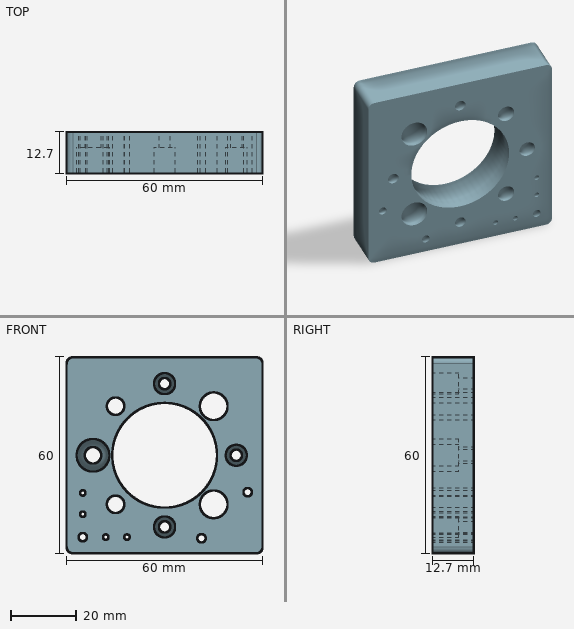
import cadquery as cq

side = 60.0
thickness = 12.7
corner_radius = 2.0

bore_diameter = 32.0

screw_offset = 21.9
screw_diameter = 3.4
screw_head_diameter = 6.5
screw_head_depth = 8.0
large_screw_diameter = 5.0
large_screw_head_diameter = 10.0
large_screw_head_depth = 8.0

rod_offset = 15.0
small_rod_diameter = 5.3
large_rod_diameter = 8.4

edge_line = 25.0
pin_diameter = 1.6
pin_near = 11.5
pin_far = 18.0
dowel_diameter = 2.5
outer_dowel_line = 25.4
outer_dowel_offset = 11.3

front_y = -thickness / 2


def cylinder_from_front(x, z, diameter, depth):
    """Cylinder entering the front face at (x, z) and running toward +Y."""
    axis = cq.Vector(0, 1, 0)
    return cq.Solid.makeCylinder(diameter / 2, depth, cq.Vector(x, front_y, z), axis)


def drill(body, places, diameter, depth=thickness):
    for x, z in places:
        body = body.cut(cylinder_from_front(x, z, diameter, depth))
    return body


def counterbore(body, places, diameter, head_diameter, head_depth):
    body = drill(body, places, diameter)
    return drill(body, places, head_diameter, head_depth)


plate = cq.Workplane("XY").box(side, thickness, side).edges("|Y").fillet(corner_radius)

plate = drill(plate, [(0, 0)], bore_diameter)

screw_places = [(0, screw_offset), (screw_offset, 0), (0, -screw_offset)]
plate = counterbore(plate, screw_places, screw_diameter, screw_head_diameter, screw_head_depth)
plate = counterbore(
    plate,
    [(-screw_offset, 0)],
    large_screw_diameter,
    large_screw_head_diameter,
    large_screw_head_depth,
)

plate = drill(plate, [(-rod_offset, z) for z in (-rod_offset, rod_offset)], small_rod_diameter)
plate = drill(plate, [(rod_offset, z) for z in (-rod_offset, rod_offset)], large_rod_diameter)

for pin_offset in (pin_near, pin_far):
    pin_places = [(-edge_line, -pin_offset), (-pin_offset, -edge_line)]
    plate = drill(plate, pin_places, pin_diameter)

dowel_places = [
    (-edge_line, -edge_line),
    (outer_dowel_line, -outer_dowel_offset),
    (outer_dowel_offset, -outer_dowel_line),
]
plate = drill(plate, dowel_places, dowel_diameter)

result = plate